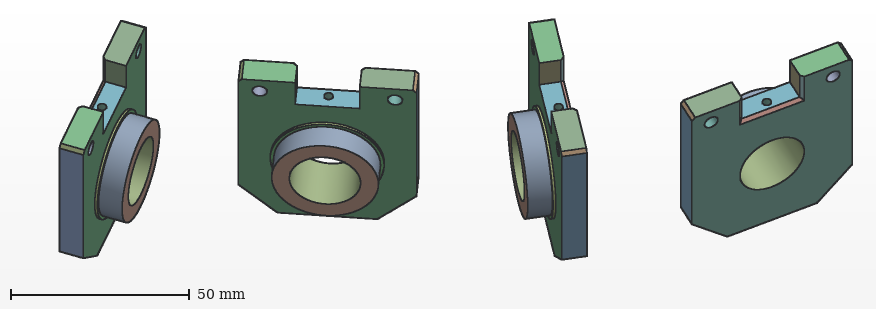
import cadquery as cq

plate_thickness = 7.2
plate_width = 50.0
plate_height = 56.5
bottom_corner_cut = 11.0
edge_chamfer = 1.0

overall_depth = 15.0
collar_diameter = 32.0
collar_length = 0.8
boss_diameter = 29.95
bore_diameter = 20.0
bore_height = 24.3

notch_width = 18.1
notch_depth = 9.3
notch_floor = plate_height - notch_depth

floor_hole_diameter = 2.5
floor_hole_x = 3.4

mount_hole_diameter = 4.1
mount_hole_spacing = 37.95
mount_hole_below_top = 4.65
mount_hole_height = plate_height - mount_hole_below_top


def cylinder_along_x(diameter, length, y, z):
    """Round bar starting on the X = 0 face and running along +X."""
    return cq.Workplane("YZ").center(y, z).circle(diameter / 2).extrude(length)


def make_plate():
    plate = cq.Workplane("YZ").rect(plate_width, plate_height).extrude(plate_thickness)
    plate = plate.translate((0, 0, plate_height / 2))
    plate = plate.edges("|X and <Z").chamfer(bottom_corner_cut)
    return plate.edges("|X and >Z").chamfer(edge_chamfer)


def notch_section(workplane, margin):
    """Draw the notch outline, its sides and floor moved outward by margin."""
    width = notch_width + 2 * margin
    height = notch_depth + margin
    return workplane.center(0, plate_height - height / 2).rect(width, height)


def make_notch():
    """Rectangular notch with a chamfered rim on the X = 0 face."""
    opening = notch_section(cq.Workplane("YZ"), 0).extrude(plate_thickness)
    rim_outer = notch_section(cq.Workplane("YZ"), edge_chamfer)
    rim_inner_plane = rim_outer.workplane(offset=edge_chamfer, origin=(0, 0, 0))
    rim = notch_section(rim_inner_plane, 0).loft(ruled=True)
    return opening.union(rim)


def make_floor_hole():
    """Upright hole reaching from the bore axis to the notch floor."""
    return (
        cq.Workplane("XY", origin=(floor_hole_x, 0, bore_height))
        .circle(floor_hole_diameter / 2)
        .extrude(notch_floor - bore_height)
    )


collar = cylinder_along_x(collar_diameter, plate_thickness + collar_length, 0, bore_height)
boss = cylinder_along_x(boss_diameter, overall_depth, 0, bore_height)
bore = cylinder_along_x(bore_diameter, overall_depth, 0, bore_height)

result = make_plate().union(collar).union(boss).cut(bore)
result = result.cut(make_notch()).cut(make_floor_hole())
for side in (-1, 1):
    hole_y = side * mount_hole_spacing / 2
    result = result.cut(
        cylinder_along_x(mount_hole_diameter, plate_thickness, hole_y, mount_hole_height)
    )